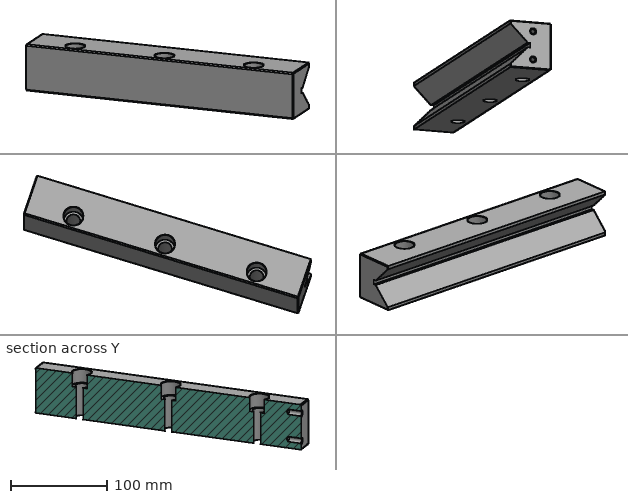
import cadquery as cq

length = 300.0
width = 45.0
height = 50.0
back_chamfer = 1.5
end_chamfer = 1.0

relief_height = 5.0
relief_depth = 22.0
lip_height = 3.5
flank_depth = height / 2 - lip_height - relief_height / 2

bolt_count = 3
bolt_pitch = length / bolt_count
bolt_inset = 14.0
bolt_y = -width / 2 + bolt_inset
bolt_diameter = 14.0
counterbore_diameter = 20.0
counterbore_depth = 15.0
bolt_mouth_chamfer = 0.45

end_hole_diameter = 5.0
end_hole_depth = 15.0
end_hole_spacing = 30.0
end_hole_inset = 25.0
end_hole_y = width / 2 - end_hole_inset
countersink_diameter = 7.0


def make_block():
    """Block with every edge chamfered except the long ones on the +Y side."""
    block = cq.Workplane("XY").box(length, width, height)
    block = block.faces("<Y").edges("|X").chamfer(back_chamfer)
    return block.faces("<X or >X").edges().chamfer(end_chamfer)


def make_groove():
    """Cutter for the V groove and its relief, running the full length."""
    mouth_y = width / 2
    flank_end_y = mouth_y - flank_depth
    root_y = mouth_y - relief_depth
    mouth_z = height / 2 - lip_height
    relief_z = relief_height / 2
    return (
        cq.Workplane("YZ", origin=(-length / 2, 0, 0))
        .moveTo(mouth_y, mouth_z)
        .lineTo(flank_end_y, relief_z)
        .lineTo(root_y, relief_z)
        .lineTo(root_y, -relief_z)
        .lineTo(flank_end_y, -relief_z)
        .lineTo(mouth_y, -mouth_z)
        .close()
        .extrude(length)
    )


def make_bolt_hole(x):
    """Through hole, counterbore and mouth chamfer as one stepped cutter."""
    top_z = height / 2
    through = cq.Workplane("XY", origin=(x, bolt_y, -top_z)).circle(bolt_diameter / 2).extrude(height)
    counterbore = (
        cq.Workplane("XY", origin=(x, bolt_y, top_z))
        .circle(counterbore_diameter / 2)
        .extrude(-counterbore_depth)
    )
    mouth = (
        cq.Workplane("XY", origin=(x, bolt_y, top_z))
        .circle(counterbore_diameter / 2 + bolt_mouth_chamfer)
        .extrude(-bolt_mouth_chamfer, taper=45)
    )
    return through.union(counterbore).union(mouth)


def make_end_hole(z):
    """Cutter revolved about the hole axis, which runs along X."""
    mouth_radius = countersink_diameter / 2
    radius = end_hole_diameter / 2
    countersink_depth = mouth_radius - radius
    point_depth = end_hole_depth + radius / 2
    return (
        cq.Workplane("XY", origin=(-length / 2, end_hole_y, z))
        .lineTo(0, mouth_radius)
        .lineTo(countersink_depth, radius)
        .lineTo(end_hole_depth, radius)
        .lineTo(point_depth, 0)
        .close()
        .revolve(360, (0, 0, 0), (1, 0, 0))
    )


result = make_block().cut(make_groove())
for index in range(bolt_count):
    bolt_x = (index - (bolt_count - 1) / 2) * bolt_pitch
    result = result.cut(make_bolt_hole(bolt_x))
for side in (-1, 1):
    result = result.cut(make_end_hole(side * end_hole_spacing / 2))